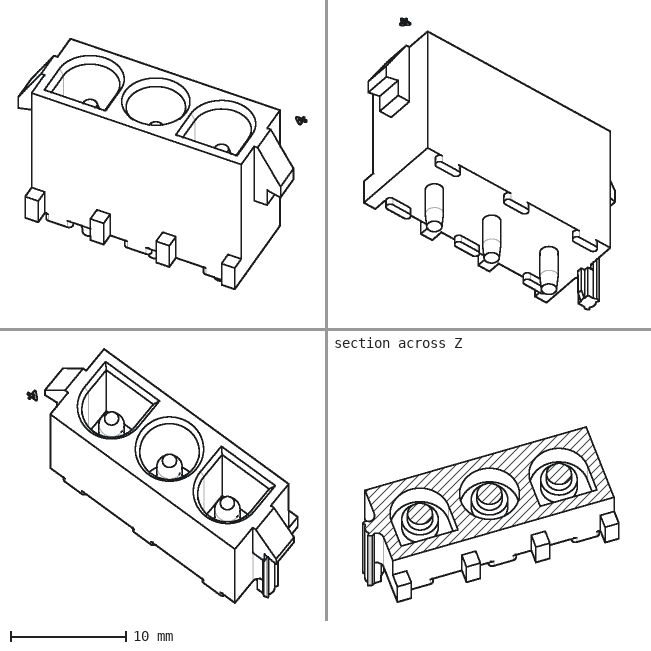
import cadquery as cq
import math


PITCH = 6.35
CONTACT_XS = [-PITCH, 0, PITCH]
BODY_LENGTH = 20.27
BODY_DEPTH = 7.6
BODY_HEIGHT = 13.9
BODY_END = BODY_LENGTH / 2
BODY_SIDE = BODY_DEPTH / 2

CAVITY_WIDTH = 5.15
CAVITY_RADIUS = CAVITY_WIDTH / 2
CAVITY_DEPTH = 11.23
LEAD_IN_WIDTH = 0.38
LEAD_IN_ANGLE = 30
LEAD_IN_DEPTH = LEAD_IN_WIDTH / math.tan(math.radians(LEAD_IN_ANGLE))
CAVITY_FLOOR = BODY_HEIGHT - CAVITY_DEPTH

COLLAR_DIAMETER = 3.17
COLLAR_HEIGHT = 1.28
PIN_DIAMETER = 2.2
PIN_TIP_DIAMETER = 1.23
PIN_TIP_LENGTH = 1.53
PIN_TIP_DROP = 3.0
TAIL_DIAMETER = 1.58
TAIL_END_DIAMETER = 1.33
TAIL_LENGTH = 4.35
TAIL_TAPER_LENGTH = 1.53

LATCH_WIDTH = 2.55
LATCH_TIP = 12.7
LATCH_ARM = 11.39
LATCH_TOP = 10.47
LATCH_BOTTOM_Z = 7.38
HOOK_TOP_Z = 10.14
HOOK_TIP_Z = 8.83
HOOK_ROOT_Z = 9.17

WEB_RADIUS = 0.6
PEG_FLANK = LATCH_WIDTH / 2 - WEB_RADIUS
PEG_FLANK_START = BODY_END + WEB_RADIUS
PEG_SHOULDER_X = 11.0
PEG_SHOULDER_Y = 0.82
PEG_CORNER_X = 11.23
PEG_CORNER_Y = 0.77
PEG_RIDGE_Y = 0.7
PEG_VALLEY_X = 11.23
PEG_VALLEY_Y = 0.43
PEG_BACK = 9.75
PEG_RIB_WIDTH = 0.45
PEG_LENGTH = 3.35
PEG_CHAMFER_WIDTH = 0.33
PEG_CHAMFER_HEIGHT = 0.71

TAB_WIDTH = 1.28
TAB_REACH = 1.28
TAB_HEIGHT = 2.55

FOOT_LENGTH = 2.55
FOOT_WIDTH = 0.75
FOOT_HEIGHT = 0.77
FOOT_PITCH = 7.6

NUMERAL_RIGHT = 12.85
NUMERAL_WIDTH = 1.0
NUMERAL_LENGTH = 0.87
NUMERAL_THICKNESS = 0.15
NUMERAL_STROKE = 0.15
NUMERAL_OVERHANG = 0.3
NUMERAL_BAR_DROP = 0.23


def make_block():
    return cq.Workplane("XY").box(BODY_LENGTH, BODY_DEPTH, BODY_HEIGHT, centered=(True, True, False))


def make_latch():
    """Hooked latch on the left end, tapered towards the top."""
    outline = [
        (-BODY_END, BODY_HEIGHT),
        (-LATCH_TOP, BODY_HEIGHT),
        (-LATCH_TIP, HOOK_TOP_Z),
        (-LATCH_TIP, HOOK_TIP_Z),
        (-LATCH_ARM, HOOK_ROOT_Z),
        (-LATCH_ARM, LATCH_BOTTOM_Z),
        (-BODY_END, LATCH_BOTTOM_Z),
    ]
    return cq.Workplane("XZ").polyline(outline).close().extrude(LATCH_WIDTH / 2, both=True)


def make_web():
    """Web under the left latch, flaring in concave quarter circles from the peg to the housing."""
    half_width = LATCH_WIDTH / 2
    return (
        cq.Workplane("XY")
        .moveTo(-PEG_FLANK_START, -PEG_FLANK)
        .radiusArc((-BODY_END, -half_width), WEB_RADIUS)
        .lineTo(-BODY_END, half_width)
        .radiusArc((-PEG_FLANK_START, PEG_FLANK), WEB_RADIUS)
        .close()
        .extrude(LATCH_BOTTOM_Z)
    )


def make_peg():
    """Peg with a wide head, grooved beside a rounded bulge, and a narrow rib inside."""
    bulge_depth = LATCH_ARM - PEG_VALLEY_X
    bulge_radius = (bulge_depth**2 + PEG_VALLEY_Y**2) / (2 * bulge_depth)
    half_peg = (
        cq.Workplane("XY")
        .workplane(offset=-PEG_LENGTH)
        .moveTo(-BODY_END, -PEG_FLANK)
        .lineTo(-PEG_FLANK_START, -PEG_FLANK)
        .lineTo(-PEG_SHOULDER_X, -PEG_SHOULDER_Y)
        .lineTo(-PEG_CORNER_X, -PEG_CORNER_Y)
        .lineTo(-LATCH_ARM, -PEG_RIDGE_Y)
        .lineTo(-PEG_VALLEY_X, -PEG_VALLEY_Y)
        .radiusArc((-LATCH_ARM, 0), bulge_radius)
        .lineTo(-PEG_BACK, 0)
        .lineTo(-PEG_BACK, -PEG_RIB_WIDTH / 2)
        .lineTo(-BODY_END, -PEG_RIB_WIDTH / 2)
        .close()
        .extrude(PEG_LENGTH + LATCH_BOTTOM_Z)
    )
    return half_peg.union(half_peg.mirror("XZ")).cut(make_peg_chamfer())


def make_peg_chamfer():
    """Wedge taken off the lower edge of the peg's inner rib."""
    wedge = [
        (-PEG_BACK, -PEG_LENGTH),
        (-PEG_BACK - PEG_CHAMFER_WIDTH, -PEG_LENGTH),
        (-PEG_BACK, -PEG_LENGTH + PEG_CHAMFER_HEIGHT),
    ]
    return cq.Workplane("XZ").polyline(wedge).close().extrude(PEG_RIB_WIDTH / 2, both=True)


def make_tabs():
    """Tabs on the front: one flush with each end and one between each two contacts."""
    end_x = BODY_END - TAB_WIDTH / 2
    tab_y = -BODY_SIDE - TAB_REACH / 2
    return (
        cq.Workplane("XY")
        .pushPoints([(x, tab_y) for x in (-end_x, -PITCH / 2, PITCH / 2, end_x)])
        .rect(TAB_WIDTH, TAB_REACH)
        .extrude(TAB_HEIGHT)
    )


def make_feet():
    """Round-ended standoff feet, flush with the front and back of the block."""
    foot_y = BODY_SIDE - FOOT_WIDTH / 2
    places = [(x, y) for x in (-FOOT_PITCH, 0, FOOT_PITCH) for y in (-foot_y, foot_y)]
    return cq.Workplane("XY").pushPoints(places).slot2D(FOOT_LENGTH, FOOT_WIDTH).extrude(-FOOT_HEIGHT)


def cavity_outline(workplane, half_width, is_round):
    """Round cavity outline, or a half circle with a square-cornered front."""
    if is_round:
        return workplane.circle(half_width)
    return (
        workplane.moveTo(-half_width, 0)
        .threePointArc((0, half_width), (half_width, 0))
        .lineTo(half_width, -half_width)
        .lineTo(-half_width, -half_width)
        .close()
    )


def make_cavity(is_round):
    """Contact cavity with a tapered lead-in at the mouth."""
    floor = cq.Workplane("XY").workplane(offset=CAVITY_FLOOR)
    bore = cavity_outline(floor, CAVITY_RADIUS, is_round).extrude(CAVITY_DEPTH)
    mouth = cq.Workplane("XY").workplane(offset=BODY_HEIGHT)
    lead_in = cavity_outline(mouth, CAVITY_RADIUS + LEAD_IN_WIDTH, is_round).extrude(
        -LEAD_IN_DEPTH, taper=LEAD_IN_ANGLE
    )
    return bore.union(lead_in)


def make_contact():
    """Collar, pointed pin and tail of one contact, turned about its own axis."""
    pin_tip_z = BODY_HEIGHT - PIN_TIP_DROP
    profile = [
        (0, -TAIL_LENGTH),
        (TAIL_END_DIAMETER / 2, -TAIL_LENGTH),
        (TAIL_DIAMETER / 2, -TAIL_LENGTH + TAIL_TAPER_LENGTH),
        (TAIL_DIAMETER / 2, CAVITY_FLOOR),
        (COLLAR_DIAMETER / 2, CAVITY_FLOOR),
        (COLLAR_DIAMETER / 2, CAVITY_FLOOR + COLLAR_HEIGHT),
        (PIN_DIAMETER / 2, CAVITY_FLOOR + COLLAR_HEIGHT),
        (PIN_DIAMETER / 2, pin_tip_z - PIN_TIP_LENGTH),
        (PIN_TIP_DIAMETER / 2, pin_tip_z),
        (0, pin_tip_z),
    ]
    return cq.Workplane("XZ").polyline(profile).close().revolve(360, (0, 0, 0), (0, 1, 0))


def make_housing():
    left_latch = make_latch()
    housing = make_block().union(left_latch).union(left_latch.mirror("YZ"))
    housing = housing.union(make_web()).union(make_peg())
    housing = housing.union(make_tabs()).union(make_feet())
    for x in CONTACT_XS:
        housing = housing.cut(make_cavity(is_round=(x == 0)).translate((x, 0, 0)))
        housing = housing.union(make_contact().translate((x, 0, 0)))
    return housing


def make_numeral():
    """Raised figure 4 with its stem along Y and its crossbar along X."""
    right = NUMERAL_RIGHT
    left = right - NUMERAL_WIDTH
    stem_right = right - NUMERAL_OVERHANG
    stem_left = stem_right - NUMERAL_STROKE
    back = BODY_SIDE
    front = back - NUMERAL_LENGTH
    bar_back = back - NUMERAL_BAR_DROP
    bar_front = bar_back - NUMERAL_STROKE
    outline = [
        (left, bar_back),
        (stem_left, bar_back),
        (stem_left, back),
        (stem_right, back),
        (stem_right, bar_back),
        (right, bar_back),
        (right, bar_front),
        (stem_right, bar_front),
        (stem_right, front),
        (stem_left, front),
        (left, bar_front),
    ]
    opening = [
        (left + 2 * NUMERAL_STROKE, bar_front),
        (stem_left, bar_front),
        (stem_left, front + 2 * NUMERAL_STROKE),
    ]
    top = cq.Workplane("XY").workplane(offset=BODY_HEIGHT)
    figure = top.polyline(outline).close().extrude(NUMERAL_THICKNESS)
    return figure.cut(top.polyline(opening).close().extrude(NUMERAL_THICKNESS))


housing = make_housing()
numeral = make_numeral()

result = cq.Compound.makeCompound([housing.val(), numeral.val()])